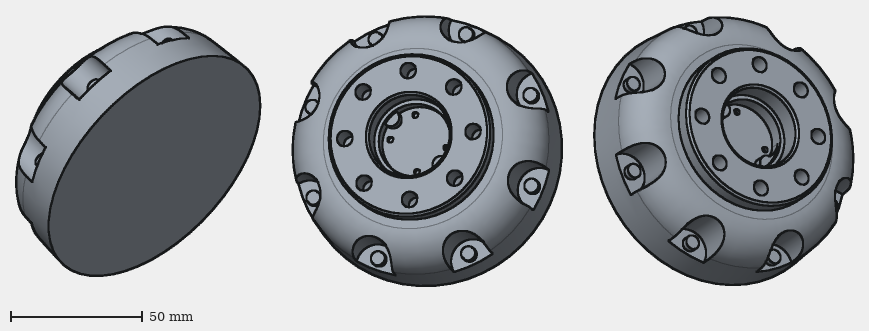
import cadquery as cq
import math

total_length = 38.4
outer_diameter = 102.25
rim_draft_angle = 4.0
shoulder_radius = 15.0
hub_diameter = 63.0
hub_length = 7.0
hub_chamfer = 1.0

bore_diameter = 31.5
bore_depth = 10.0
bore_chamfer = 1.0
inner_bore_diameter = 28.0
inner_bore_depth = 16.5

pattern_turn = 0.6
pattern_count = 8

bolt_circle_diameter = 50.0
bolt_hole_diameter = 6.0
bolt_hole_depth = 12.0
drill_point_angle = 118.0
flat_hole_index = 0

pocket_circle_diameter = 97.0
pocket_radius = 8.25
rim_length = 13.15
pocket_floor_x = total_length - rim_length
pin_circle_diameter = 92.0
pin_diameter = 5.5
pin_height = 2.8

floor_hole_circle_diameter = 22.2
floor_hole_diameter = 2.2
floor_hole_depth = 2.0
floor_hole_angles = (-9.8, 87.0, 168.8, 276.3)
plain_lug_angle = -44.0
lug_circle_radius = 13.5
lug_radius = 3.2
lug_height = 4.3
flare_radius = 6.8
flare_half_angle = 41.0


def polar(radius, angle):
    """Return (y, z) at an angle measured from +Y towards -Z."""
    radians = math.radians(angle)
    return radius * math.cos(radians), -radius * math.sin(radians)


def pattern_angle(index):
    """Angle of one member of the eightfold pattern."""
    return pattern_turn + index * 360.0 / pattern_count


def cylinder_x(diameter, x_start, length, center=(0.0, 0.0)):
    """Cylinder parallel to X, with its start face at x_start."""
    plane = cq.Workplane("YZ", origin=(x_start, 0, 0))
    return plane.center(*center).circle(diameter / 2).extrude(length)


def make_body():
    """Hub, rounded shoulder and slightly tapered rim."""
    draft = math.radians(rim_draft_angle)
    outer_radius = outer_diameter / 2
    hub_radius = hub_diameter / 2
    arc_center_x = hub_length + shoulder_radius
    arc_end_x = arc_center_x - shoulder_radius * math.sin(draft)
    arc_end_r = outer_radius - (total_length - arc_end_x) * math.tan(draft)
    arc_center_r = arc_end_r - shoulder_radius * math.cos(draft)
    mid_angle = (math.pi / 2 - draft) / 2
    arc_mid = (
        arc_center_x - shoulder_radius * math.cos(mid_angle),
        arc_center_r + shoulder_radius * math.sin(mid_angle),
    )
    profile = (
        cq.Workplane("XY")
        .moveTo(0, 0)
        .lineTo(0, hub_radius - hub_chamfer)
        .lineTo(hub_chamfer, hub_radius)
        .lineTo(hub_length, hub_radius)
        .lineTo(hub_length, arc_center_r)
        .threePointArc(arc_mid, (arc_end_x, arc_end_r))
        .lineTo(total_length, outer_radius)
        .lineTo(total_length, 0)
        .close()
    )
    return profile.revolve(360, (0, 0, 0), (1, 0, 0))


def make_bore():
    """Stepped blind bore with a chamfered mouth."""
    bore_radius = bore_diameter / 2
    inner_radius = inner_bore_diameter / 2
    profile = (
        cq.Workplane("XY")
        .moveTo(0, 0)
        .lineTo(0, bore_radius + bore_chamfer)
        .lineTo(bore_chamfer, bore_radius)
        .lineTo(bore_depth, bore_radius)
        .lineTo(bore_depth, inner_radius)
        .lineTo(inner_bore_depth, inner_radius)
        .lineTo(inner_bore_depth, 0)
        .close()
    )
    return profile.revolve(360, (0, 0, 0), (1, 0, 0))


def make_bolt_hole(index):
    """Blind hole in the hub face; every one but the flat one ends in a drill point."""
    angle = pattern_angle(index)
    center = polar(bolt_circle_diameter / 2, angle)
    hole = cylinder_x(bolt_hole_diameter, 0, bolt_hole_depth, center)
    if index == flat_hole_index:
        return hole
    radius = bolt_hole_diameter / 2
    point_depth = radius / math.tan(math.radians(drill_point_angle / 2))
    tip = cq.Solid.makeCone(
        radius, 0, point_depth, cq.Vector(bolt_hole_depth, *center), cq.Vector(1, 0, 0)
    )
    return hole.union(cq.Workplane(tip))


def make_pocket(index):
    """Round-bottomed scallop with a pin left standing on its floor."""
    angle = pattern_angle(index + 0.5)
    pocket = cylinder_x(
        2 * pocket_radius, 0, pocket_floor_x, polar(pocket_circle_diameter / 2, angle)
    )
    pin = cylinder_x(
        pin_diameter, pocket_floor_x - pin_height, pin_height, polar(pin_circle_diameter / 2, angle)
    )
    return pocket.cut(pin)


def make_flare(start):
    """Web that blends a lug into the bore wall through two concave arcs tangent to the wall."""
    wall_radius = inner_bore_diameter / 2
    spread = math.radians(flare_half_angle)
    center_distance = wall_radius - flare_radius
    center_u = center_distance * math.cos(spread)
    center_v = center_distance * math.sin(spread)
    wall_u = wall_radius * math.cos(spread)
    wall_v = wall_radius * math.sin(spread)
    meet_u = center_u + math.sqrt(flare_radius**2 - center_v**2)
    mid_angle = (spread + math.atan2(-center_v, meet_u - center_u)) / 2
    mid_u = center_u + flare_radius * math.cos(mid_angle)
    mid_v = center_v + flare_radius * math.sin(mid_angle)
    outline = (
        cq.Workplane("YZ", origin=(start, 0, 0))
        .moveTo(wall_u, -wall_v)
        .threePointArc((wall_radius, 0), (wall_u, wall_v))
        .threePointArc((mid_u, mid_v), (meet_u, 0))
        .threePointArc((mid_u, -mid_v), (wall_u, -wall_v))
        .close()
    )
    return outline.extrude(lug_height)


def make_lugs():
    """Two opposite round lugs on the bore floor, one flared into the bore wall."""
    start = inner_bore_depth - lug_height
    flare_angle = plain_lug_angle + 180
    lugs = make_flare(start).rotate((0, 0, 0), (1, 0, 0), -flare_angle)
    for angle in (plain_lug_angle, flare_angle):
        lugs = lugs.union(cylinder_x(2 * lug_radius, start, lug_height, polar(lug_circle_radius, angle)))
    return lugs.intersect(cylinder_x(inner_bore_diameter, start, lug_height))


def make_floor_hole(angle):
    """Small blind hole in the bore floor."""
    center = polar(floor_hole_circle_diameter / 2, angle)
    return cylinder_x(floor_hole_diameter, inner_bore_depth, floor_hole_depth, center)


result = make_body().cut(make_bore().cut(make_lugs()))
for member in range(pattern_count):
    result = result.cut(make_bolt_hole(member))
    result = result.cut(make_pocket(member))
for hole_angle in floor_hole_angles:
    result = result.cut(make_floor_hole(hole_angle))